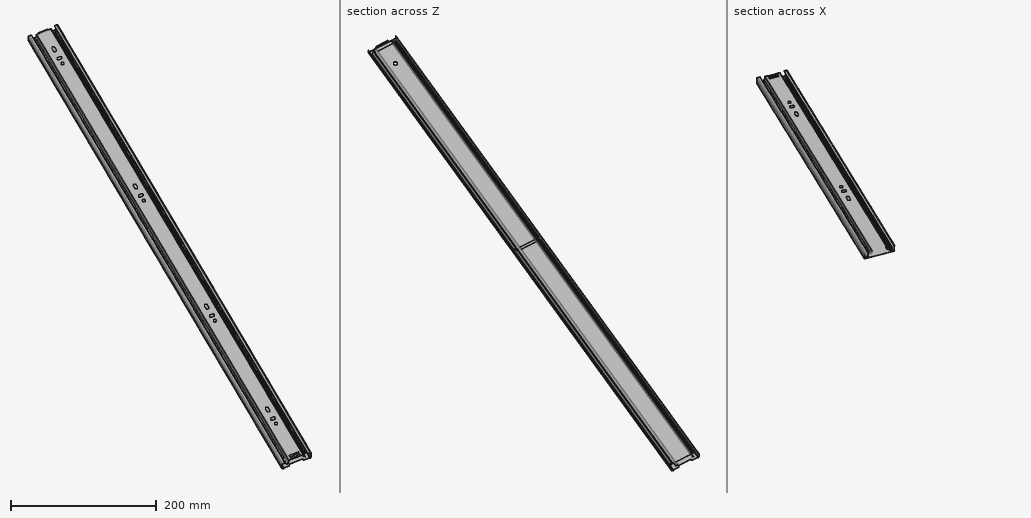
import cadquery as cq
import math

LENGTH = 800.5
WIDTH = 46.0
HEIGHT = 12.0

OUTER_THICKNESS = 1.3
OUTER_BEND = 2.0
LIP_HALF_OPENING = 18.0
OUTER_LENGTH = 799.0
NOTCH_HALF_WIDTH = 10.5
NOTCH_DEPTH = 2.5
DRAIN_HOLE_DIAMETER = 5.5

TAB_BEND = 2.5
TAB_BOTTOM = 3.0
TAB_BOTTOM_HALF_WIDTH = 10.5
TAB_TOP_HALF_WIDTH = 6.5

INNER_THICKNESS = 1.0
INNER_START = TAB_BEND
INNER_END = 797.0
INNER_HALF_WIDTH = 11.6
INNER_BEND = 1.2
FLARE_BEND = 3.0
FLARE_ANGLE = 45
FLARE_TOP = 7.6
FOOT_BOTTOM = 2.25
FOOT_START = 6.0
FOOT_END = 790.0
FOOT_TRIM_Y = 14.5

GRIP_START = 790.0
GRIP_HALF_WIDTH = 7.0
GRIP_GROOVE_PITCH = 5.0
GRIP_GROOVE_WIDTH = 2.5
GRIP_GROOVE_COUNT = 2
GRIP_GROOVE_DEPTH = 0.4

HOLE_PITCH = 32.0
GROUP_PITCH_COUNTS = (0, 8, 15, 21)
FIRST_GROUP_X = 35.0
LONG_SLOT_LENGTH = 9.0
LONG_SLOT_WIDTH = 4.3
UPRIGHT_SLOT_OFFSET = 17.0
UPRIGHT_SLOT_WIDTH = 4.3
UPRIGHT_SLOT_LENGTH = 7.0
ROUND_HOLE_OFFSET = 26.5
ROUND_HOLE_DIAMETER = 4.5

RETAINER_FLOOR = 1.0
RETAINER_HALF_WIDTH = 20.4
ARM_THICKNESS = 2.0
ARM_FOOT_Y = 19.6
ARM_TOP_Y = 16.6
ARM_TOP_Z = 11.0
RETAINER_JOINT = 382.0
RETAINER_GAP = 4.0
RETAINER_START = FOOT_START
RETAINER_END = FOOT_END
FINGER_WIDTH = 1.0


def box(x0, x1, y0, y1, z0, z1):
    """Axis-aligned box between the given limits."""
    return cq.Workplane("XY").box(x1 - x0, y1 - y0, z1 - z0, centered=False).translate((x0, y0, z0))


def vertical_hole(diameter, x):
    """Round cutter on the centre line, as tall as the slide."""
    return cq.Workplane("XY").center(x, 0).circle(diameter / 2).extrude(HEIGHT)


def mirrored_profile(half_points, x0, x1):
    """Extrude an outline given for +Y, and mirrored to -Y, along X."""
    other_half = [(-y, z) for y, z in reversed(half_points)]
    outline = cq.Workplane("YZ", origin=(x0, 0, 0)).polyline(half_points + other_half).close()
    return outline.extrude(x1 - x0)


def make_outer_rail():
    """C channel with inward lips, a notch in the floor's end and a drain hole."""
    outer_half = WIDTH / 2
    inside_half = outer_half - OUTER_THICKNESS
    shell = box(0, OUTER_LENGTH, -outer_half, outer_half, 0, HEIGHT)
    shell = shell.edges("|X").fillet(OUTER_BEND)
    hollow = box(0, OUTER_LENGTH, -inside_half, inside_half, OUTER_THICKNESS, HEIGHT - OUTER_THICKNESS)
    hollow = hollow.edges("|X").fillet(OUTER_BEND - OUTER_THICKNESS)
    opening = box(0, OUTER_LENGTH, -LIP_HALF_OPENING, LIP_HALF_OPENING, HEIGHT / 2, HEIGHT)
    notch_start = OUTER_LENGTH - NOTCH_DEPTH
    notch = box(notch_start, OUTER_LENGTH, -NOTCH_HALF_WIDTH, NOTCH_HALF_WIDTH, 0, HEIGHT)
    drain_hole = vertical_hole(DRAIN_HOLE_DIAMETER, FIRST_GROUP_X)
    return shell.cut(hollow).cut(opening).cut(notch).cut(drain_hole)


def inner_channel():
    """Web, two side flanges and sloping feet that flare outward."""
    slope_shift = INNER_THICKNESS * math.tan(math.radians(FLARE_ANGLE / 2))
    inside_y = INNER_HALF_WIDTH - INNER_THICKNESS
    inside_flare_z = FLARE_TOP - slope_shift
    flare_run = (FLARE_TOP - FOOT_BOTTOM) * math.tan(math.radians(FLARE_ANGLE))
    inside_run = (inside_flare_z - FOOT_BOTTOM) * math.tan(math.radians(FLARE_ANGLE))
    half = [
        (INNER_HALF_WIDTH, HEIGHT),
        (INNER_HALF_WIDTH, FLARE_TOP),
        (INNER_HALF_WIDTH + flare_run, FOOT_BOTTOM),
        (inside_y + inside_run, FOOT_BOTTOM),
        (inside_y, inside_flare_z),
        (inside_y, HEIGHT - INNER_THICKNESS),
    ]
    channel = mirrored_profile(half, INNER_START, INNER_END)
    channel = channel.edges("|X and >Z").fillet(INNER_BEND)
    middle_x = (INNER_START + INNER_END) / 2
    for side in (-1, 1):
        outside_corner = cq.NearestToPointSelector((middle_x, side * INNER_HALF_WIDTH, FLARE_TOP))
        inside_corner = cq.NearestToPointSelector((middle_x, side * inside_y, inside_flare_z))
        channel = channel.edges("|X").edges(outside_corner).fillet(FLARE_BEND)
        channel = channel.edges("|X").edges(inside_corner).fillet(FLARE_BEND + INNER_THICKNESS)
    for x0, x1 in ((0, FOOT_START), (FOOT_END, LENGTH)):
        for y0, y1 in ((-WIDTH / 2, -FOOT_TRIM_Y), (FOOT_TRIM_Y, WIDTH / 2)):
            channel = channel.cut(box(x0, x1, y0, y1, 0, HEIGHT))
    return channel


def stop_tab():
    """Trapezoid plate bent down from the web, with a rounded bend."""
    centre_z = HEIGHT - TAB_BEND
    inside_radius = TAB_BEND - INNER_THICKNESS
    bend_shift = math.sqrt(0.5)
    sheet = (
        cq.Workplane("XZ", origin=(0, TAB_BOTTOM_HALF_WIDTH, 0))
        .moveTo(0, TAB_BOTTOM)
        .lineTo(0, centre_z)
        .threePointArc(
            (TAB_BEND * (1 - bend_shift), centre_z + TAB_BEND * bend_shift), (TAB_BEND, HEIGHT)
        )
        .lineTo(TAB_BEND, HEIGHT - INNER_THICKNESS)
        .threePointArc(
            (TAB_BEND - inside_radius * bend_shift, centre_z + inside_radius * bend_shift),
            (INNER_THICKNESS, centre_z),
        )
        .lineTo(INNER_THICKNESS, TAB_BOTTOM)
        .close()
        .extrude(2 * TAB_BOTTOM_HALF_WIDTH)
    )
    trapezoid = [(TAB_BOTTOM_HALF_WIDTH, TAB_BOTTOM), (TAB_TOP_HALF_WIDTH, HEIGHT)]
    return sheet.intersect(mirrored_profile(trapezoid, 0, TAB_BEND))


def slot_cutter(length, width, x, angle):
    """Slot cutter on the centre line, turned by the given angle from X."""
    return cq.Workplane("XY").center(x, 0).slot2D(length, width, angle).extrude(HEIGHT)


def screw_holes(group_x):
    """One group: a slot along the rail, an upright slot and a round hole."""
    long_slot = slot_cutter(LONG_SLOT_LENGTH, LONG_SLOT_WIDTH, group_x, 0)
    upright_x = group_x + UPRIGHT_SLOT_OFFSET
    upright_slot = slot_cutter(UPRIGHT_SLOT_LENGTH, UPRIGHT_SLOT_WIDTH, upright_x, 90)
    round_hole = vertical_hole(ROUND_HOLE_DIAMETER, group_x + ROUND_HOLE_OFFSET)
    return long_slot.union(upright_slot).union(round_hole)


def make_inner_rail():
    """Channel with its stop tab, screw hole groups and grip grooves."""
    rail = inner_channel().union(stop_tab())
    for pitch_count in GROUP_PITCH_COUNTS:
        rail = rail.cut(screw_holes(FIRST_GROUP_X + pitch_count * HOLE_PITCH))
    for index in range(GRIP_GROOVE_COUNT):
        x = GRIP_START + index * GRIP_GROOVE_PITCH
        groove_end = x + GRIP_GROOVE_WIDTH
        groove_floor = HEIGHT - GRIP_GROOVE_DEPTH
        rail = rail.cut(box(x, groove_end, -GRIP_HALF_WIDTH, GRIP_HALF_WIDTH, groove_floor, HEIGHT))
    return rail


def make_retainer(x0, x1):
    """Trough that rests on the outer rail's floor, cleared around the drain hole."""
    floor_top = OUTER_THICKNESS + RETAINER_FLOOR
    half = [
        (RETAINER_HALF_WIDTH, OUTER_THICKNESS),
        (RETAINER_HALF_WIDTH, floor_top),
        (ARM_FOOT_Y, floor_top),
        (ARM_TOP_Y, ARM_TOP_Z),
        (ARM_TOP_Y - ARM_THICKNESS, ARM_TOP_Z),
        (ARM_FOOT_Y - ARM_THICKNESS, floor_top),
    ]
    trough = mirrored_profile(half, x0, x1)
    return trough.cut(vertical_hole(DRAIN_HOLE_DIAMETER, FIRST_GROUP_X))


def retainer_fingers():
    """Two narrow fingers that carry the edges of the floor to the end of the slide."""
    finger_y = RETAINER_HALF_WIDTH - FINGER_WIDTH
    finger = box(
        RETAINER_END, LENGTH, finger_y, RETAINER_HALF_WIDTH,
        OUTER_THICKNESS, OUTER_THICKNESS + RETAINER_FLOOR,
    )
    return finger.union(finger.mirror("XZ"))


outer_rail = make_outer_rail()
inner_rail = make_inner_rail()
left_retainer = make_retainer(RETAINER_START, RETAINER_JOINT - RETAINER_GAP / 2)
right_retainer = make_retainer(RETAINER_JOINT + RETAINER_GAP / 2, RETAINER_END)
right_retainer = right_retainer.union(retainer_fingers())

result = cq.Compound.makeCompound(
    [outer_rail.val(), inner_rail.val(), left_retainer.val(), right_retainer.val()]
)